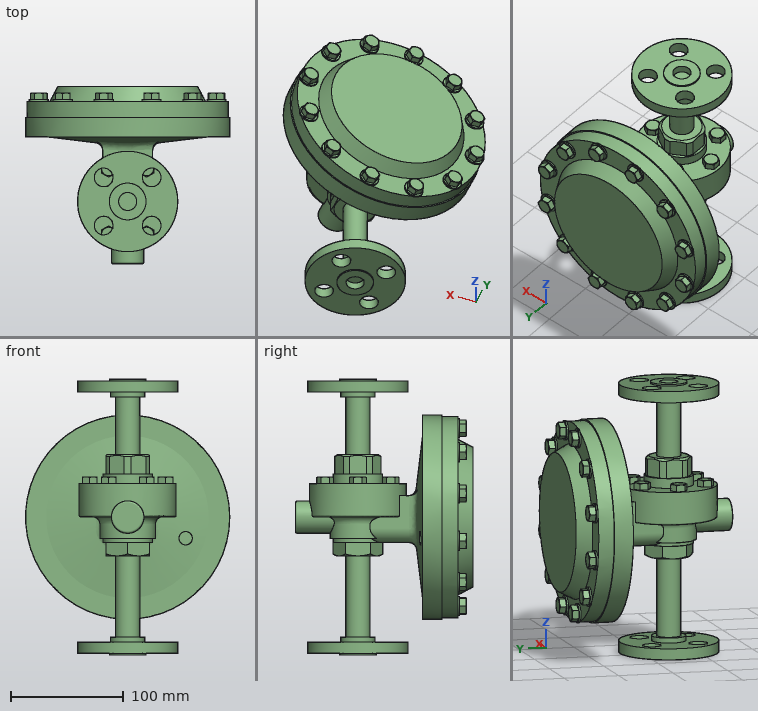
import cadquery as cq
import math


HEX_SIDES = 6
HEX_FLAT_RATIO = math.cos(math.pi / HEX_SIDES)

LINE_HALF_LENGTH = 244.35 / 2
PIPE_DIAMETER = 21.6
FLANGE_DIAMETER = 89.0
FLANGE_THICKNESS = 10.1
RAISED_FACE_DIAMETER = 32.6
RAISED_FACE_HEIGHT = 1.4
HUB_DIAMETER = 30.6
HUB_HEIGHT = 4.4
BORE_DIAMETER = 16.0
BORE_DEPTH = 7.0
PIPE_END = LINE_HALF_LENGTH - BORE_DEPTH
FLANGE_HOLE_DIAMETER = 16.5
FLANGE_HOLE_CIRCLE = 60.3
FLANGE_HOLE_COUNT = 4

VALVE_DIAMETER = 86.0
COVER_TOP = 29.7
BODY_TOP = 19.1
BODY_BOTTOM = 0.3
BODY_EDGE_FILLET = 1.4
NECK_DIAMETER = 49.4
NECK_FILLET = 6.6
NECK_BOTTOM = -19.1
COLLAR_DIAMETER = 44.0
UPPER_COLLAR_TOP = 38.4
LOWER_COLLAR_BOTTOM = -22.6

HEX_ACROSS_FLATS = 38.4
HEX_ACROSS_CORNERS = HEX_ACROSS_FLATS / HEX_FLAT_RATIO
UPPER_HEX_TOP = 55.6
UPPER_HEX_TURNED_DIAMETER = 41.2
LOWER_HEX_BOTTOM = -34.6
HEX_CHAMFER_HEIGHT = 1.9
UPPER_HEX_FACE_DIAMETER = 35.8
LOWER_HEX_FACE_DIAMETER = 37.4

COVER_BOLT_COUNT = 6
COVER_BOLT_CIRCLE = 67.2

STUB_DIAMETER = 28.8
STUB_END = -55.3
STUB_FILLET = 1.7

ARM_WIDTH = 44.4
ARM_CORNER_RADIUS = 12.5
ARM_DISC_FILLET = 6.6
SEAM_MARGIN = 0.5

DISC_BACK = STUB_END + 157.31
DISC_FRONT = 57.2
DISC_JOINT = 74.5
COVER_RIM_BACK = 88.7
DISC_DIAMETER = 181.1
COVER_RIM_DIAMETER = 178.6
COVER_CONE_BASE_DIAMETER = 138.0
COVER_CONE_BACK_DIAMETER = 124.0
FRONT_CONE_DIAMETER = 144.0
FRONT_CONE_HEIGHT = 8.7

PORT_DIAMETER = 11.8
PORT_X = 51.4
PORT_Z = -18.7
PORT_FLOOR = DISC_JOINT

DISC_BOLT_COUNT = 12
DISC_BOLT_CIRCLE = 163.0
DISC_BOLT_TURN = 15.0
WASHER_DIAMETER = 17.2
WASHER_THICKNESS = 1.5

BOLT_ACROSS_FLATS = 13.0
BOLT_ACROSS_CORNERS = BOLT_ACROSS_FLATS / HEX_FLAT_RATIO
BOLT_HEAD_HEIGHT = 6.0
BOLT_CHAMFER_HEIGHT = 0.6
BOLT_FACE_DIAMETER = 12.6


def cylinder(diameter, bottom, top):
    """Upright cylinder on the Z axis."""
    return cq.Workplane("XY").workplane(offset=bottom).circle(diameter / 2).extrude(top - bottom)


def chamfered_hex(flats, turned_diameter, height, chamfer_height, face_diameter):
    """Hexagon standing on Z = 0 with flats facing +X and -X, turned to a chamfered round at its top."""
    corners = flats / HEX_FLAT_RATIO
    prism = cq.Workplane("XY").polygon(HEX_SIDES, corners).extrude(height)
    prism = prism.rotate((0, 0, 0), (0, 0, 1), 180 / HEX_SIDES)
    turned = (
        cq.Workplane("XZ")
        .moveTo(0, 0)
        .lineTo(turned_diameter / 2, 0)
        .lineTo(turned_diameter / 2, height - chamfer_height)
        .lineTo(face_diameter / 2, height)
        .lineTo(0, height)
        .close()
        .revolve(360, (0, 0, 0), (0, 1, 0))
    )
    return prism.intersect(turned)


def bolt_head():
    return chamfered_hex(
        BOLT_ACROSS_FLATS, BOLT_ACROSS_CORNERS, BOLT_HEAD_HEIGHT, BOLT_CHAMFER_HEIGHT, BOLT_FACE_DIAMETER
    )


def valve_barrel():
    """Round valve body, neck and lower collar, turned about Z, with the cover on top."""
    valve_radius = VALVE_DIAMETER / 2
    neck_radius = NECK_DIAMETER / 2
    collar_radius = COLLAR_DIAMETER / 2
    fillet_center = (neck_radius + NECK_FILLET, BODY_BOTTOM - NECK_FILLET)
    fillet_reach = NECK_FILLET * math.sqrt(0.5)
    edge_center = (valve_radius - BODY_EDGE_FILLET, BODY_BOTTOM + BODY_EDGE_FILLET)
    edge_reach = BODY_EDGE_FILLET * math.sqrt(0.5)
    return (
        cq.Workplane("XZ")
        .moveTo(0, LOWER_COLLAR_BOTTOM)
        .lineTo(collar_radius, LOWER_COLLAR_BOTTOM)
        .lineTo(collar_radius, NECK_BOTTOM)
        .lineTo(neck_radius, NECK_BOTTOM)
        .lineTo(neck_radius, fillet_center[1])
        .threePointArc(
            (fillet_center[0] - fillet_reach, fillet_center[1] + fillet_reach),
            (fillet_center[0], BODY_BOTTOM),
        )
        .lineTo(edge_center[0], BODY_BOTTOM)
        .threePointArc(
            (edge_center[0] + edge_reach, edge_center[1] - edge_reach),
            (valve_radius, edge_center[1]),
        )
        .lineTo(valve_radius, COVER_TOP)
        .lineTo(collar_radius, COVER_TOP)
        .lineTo(collar_radius, UPPER_COLLAR_TOP)
        .lineTo(0, UPPER_COLLAR_TOP)
        .close()
        .revolve(360, (0, 0, 0), (0, 1, 0))
    )


def valve_hexagons():
    upper = chamfered_hex(
        HEX_ACROSS_FLATS,
        UPPER_HEX_TURNED_DIAMETER,
        UPPER_HEX_TOP - UPPER_COLLAR_TOP,
        HEX_CHAMFER_HEIGHT,
        UPPER_HEX_FACE_DIAMETER,
    ).translate((0, 0, UPPER_COLLAR_TOP))
    lower = chamfered_hex(
        HEX_ACROSS_FLATS,
        HEX_ACROSS_CORNERS,
        LOWER_COLLAR_BOTTOM - LOWER_HEX_BOTTOM,
        HEX_CHAMFER_HEIGHT,
        LOWER_HEX_FACE_DIAMETER,
    )
    lower = lower.rotate((0, 0, 0), (1, 0, 0), 180).translate((0, 0, LOWER_COLLAR_BOTTOM))
    return upper, lower


def cover_bolts():
    heads = []
    for index in range(COVER_BOLT_COUNT):
        head = bolt_head().translate((COVER_BOLT_CIRCLE / 2, 0, COVER_TOP))
        heads.append(head.rotate((0, 0, 0), (0, 0, 1), index * 360 / COVER_BOLT_COUNT))
    return heads


def end_stub():
    stub = cq.Workplane("XZ").circle(STUB_DIAMETER / 2).extrude(-STUB_END)
    return stub.faces("<Y").edges().fillet(STUB_FILLET)


def disc():
    """Both halves of the actuator disc, turned about Y, from the tip of the front cone to the back."""
    return (
        cq.Workplane("XY")
        .moveTo(0, DISC_FRONT - FRONT_CONE_HEIGHT)
        .lineTo(FRONT_CONE_DIAMETER / 2, DISC_FRONT)
        .lineTo(DISC_DIAMETER / 2, DISC_FRONT)
        .lineTo(DISC_DIAMETER / 2, DISC_JOINT)
        .lineTo(COVER_RIM_DIAMETER / 2, DISC_JOINT)
        .lineTo(COVER_RIM_DIAMETER / 2, COVER_RIM_BACK)
        .lineTo(COVER_CONE_BASE_DIAMETER / 2, COVER_RIM_BACK)
        .lineTo(COVER_CONE_BACK_DIAMETER / 2, DISC_BACK)
        .lineTo(0, DISC_BACK)
        .close()
        .revolve(360, (0, 0, 0), (0, 1, 0))
    )


def arm():
    """Block from the pipe axis into the disc, with rounded lower corners."""
    height = BODY_TOP - LOWER_COLLAR_BOTTOM
    block = cq.Workplane("XY").box(ARM_WIDTH, DISC_FRONT, height, centered=(True, False, False))
    block = block.translate((0, 0, LOWER_COLLAR_BOTTOM))
    return block.faces("<Z").edges("|Y").fillet(ARM_CORNER_RADIUS)


def disc_with_arm():
    """Disc and arm, blended where the arm runs into the front cone."""
    joined = disc().union(arm())
    reach = ARM_WIDTH / 2 + ARM_DISC_FILLET
    seam_zone = cq.selectors.BoxSelector(
        (-reach, DISC_FRONT - FRONT_CONE_HEIGHT + SEAM_MARGIN, LOWER_COLLAR_BOTTOM - ARM_DISC_FILLET),
        (reach, DISC_FRONT - SEAM_MARGIN, BODY_TOP + ARM_DISC_FILLET),
    )
    return joined.edges(seam_zone).fillet(ARM_DISC_FILLET)


def port():
    drill = cq.Workplane("XZ").center(PORT_X, PORT_Z).circle(PORT_DIAMETER / 2)
    return drill.extrude(-PORT_FLOOR)


def disc_bolts():
    """Bolt heads on washers around the back of the disc rim."""
    washer = cylinder(WASHER_DIAMETER, 0, WASHER_THICKNESS)
    bolt = bolt_head().translate((0, 0, WASHER_THICKNESS)).rotate((0, 0, 0), (0, 0, 1), DISC_BOLT_TURN)
    bolt = washer.union(bolt)
    bolt = bolt.rotate((0, 0, 0), (1, 0, 0), -90).translate((DISC_BOLT_CIRCLE / 2, COVER_RIM_BACK, 0))
    bolts = []
    for index in range(DISC_BOLT_COUNT):
        angle = DISC_BOLT_TURN + index * 360 / DISC_BOLT_COUNT
        bolts.append(bolt.rotate((0, 0, 0), (0, 1, 0), angle))
    return bolts


def pipes():
    """Solid pipes from both hexagons to their ends in the flange sockets."""
    upper = cylinder(PIPE_DIAMETER, UPPER_HEX_TOP, PIPE_END)
    lower = cylinder(PIPE_DIAMETER, -PIPE_END, LOWER_HEX_BOTTOM)
    return upper, lower


def make_regulator():
    """Valve, arm, actuator disc, pipes and bolts as one solid."""
    regulator = disc_with_arm().cut(port())
    pieces = [valve_barrel(), *valve_hexagons(), end_stub(), *pipes(), *cover_bolts(), *disc_bolts()]
    for piece in pieces:
        regulator = regulator.union(piece)
    return regulator


def make_flange():
    """Socket flange at the upper pipe end: the bore opens into a socket that fits the pipe."""
    flange_top = LINE_HALF_LENGTH - RAISED_FACE_HEIGHT
    flange_bottom = flange_top - FLANGE_THICKNESS
    hub_bottom = flange_bottom - HUB_HEIGHT
    flange_holes = (
        cq.Workplane("XY")
        .workplane(offset=flange_bottom)
        .polarArray(FLANGE_HOLE_CIRCLE / 2, 180 / FLANGE_HOLE_COUNT, 360, FLANGE_HOLE_COUNT)
        .circle(FLANGE_HOLE_DIAMETER / 2)
        .extrude(FLANGE_THICKNESS)
    )
    return (
        cylinder(HUB_DIAMETER, hub_bottom, flange_bottom)
        .union(cylinder(FLANGE_DIAMETER, flange_bottom, flange_top))
        .union(cylinder(RAISED_FACE_DIAMETER, flange_top, LINE_HALF_LENGTH))
        .cut(flange_holes)
        .cut(cylinder(BORE_DIAMETER, PIPE_END, LINE_HALF_LENGTH))
        .cut(cylinder(PIPE_DIAMETER, hub_bottom, PIPE_END))
    )


regulator = make_regulator()
flanges = []
for turn in (0, 180):
    flanges.append(make_flange().rotate((0, 0, 0), (1, 0, 0), turn))

result = cq.Compound.makeCompound([regulator.val(), *[flange.val() for flange in flanges]])